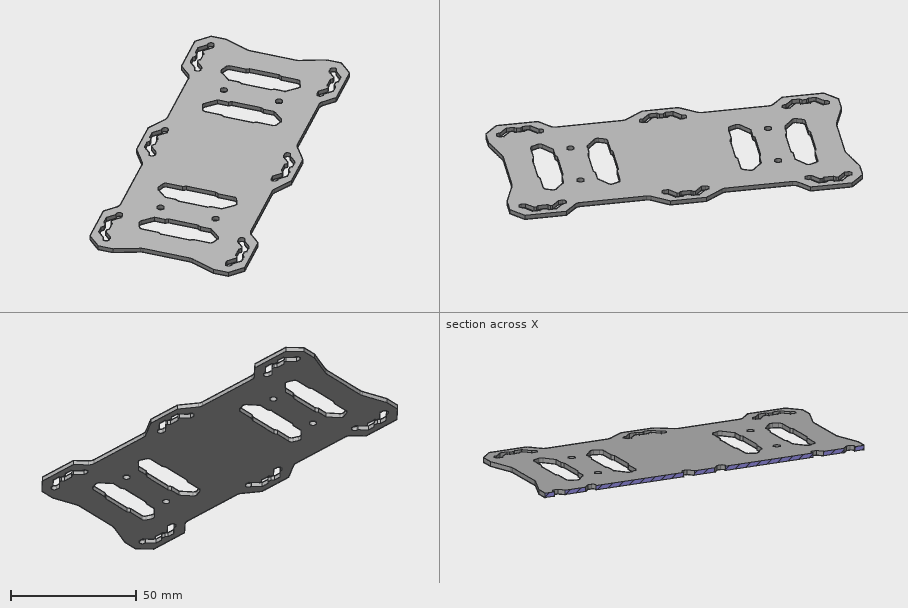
import cadquery as cq
import math

length = 143.0
width = 65.0
thickness = 2.0

pad_chamfer = 5.1
pad_side_half_length = 8.5
end_notch_depth = 4.0
end_notch_floor_half = 10.3
end_notch_mouth_half = 21.2

mid_pad_tip_half = 7.3
mid_pad_root_half = 15.2

blend_radius = 3.0

slot_width = 2.6
slot_end_x = 25.7
slot_end_half = 8.3
slot_end_bend = 7.3
slot_sway = 3.0
slot_jog = 0.9
slot_jog_start = 2.3
bend_angle = 45.0

group_y = 40.0
hole_diameter = 2.9
hole_x = 11.6
window_near_edge = 6.9
window_far_edge = 15.6
window_near_half = 11.9
window_far_half = 15.2
window_tip_half = 16.9
window_tip = 11.3
window_bulge = 0.7
window_bulge_half = 6.1
window_bulge_ramp = 1.3
window_corner_radius = 1.6

half_length = length / 2
half_width = width / 2
half_waist = half_width - pad_chamfer
pad_y = half_length - pad_chamfer - pad_side_half_length


def round_corners(body, corners, radius):
    """Fillet the upright edges of body that stand at the given (x, y) corners."""
    for x, y in corners:
        nearest = cq.selectors.NearestToPointSelector((x, y, thickness / 2))
        body = body.edges("|Z").edges(nearest).fillet(radius)
    return body


def make_plate():
    """Plate with four corner pads and two middle pads, waisted between them."""
    pad_inner_y = pad_y - pad_side_half_length
    pad_root_y = pad_inner_y - pad_chamfer
    quarter = [
        (end_notch_floor_half, half_length - end_notch_depth),
        (end_notch_mouth_half, half_length),
        (half_width - pad_chamfer, half_length),
        (half_width, half_length - pad_chamfer),
        (half_width, pad_inner_y),
        (half_waist, pad_root_y),
        (half_waist, mid_pad_root_half),
        (half_width, mid_pad_tip_half),
    ]
    right_side = quarter + [(x, -y) for x, y in reversed(quarter)]
    left_side = [(-x, y) for x, y in reversed(right_side)]
    plate = cq.Workplane("XY").polyline(right_side + left_side).close().extrude(thickness)

    inward_corners = [
        (end_notch_floor_half, half_length - end_notch_depth),
        (half_waist, pad_root_y),
        (half_waist, mid_pad_root_half),
    ]
    for x, y in inward_corners:
        mirrored_points = [(x, y), (-x, y), (x, -y), (-x, -y)]
        plate = round_corners(plate, mirrored_points, blend_radius)
    return plate


def make_slot():
    """Constant-width zigzag slot for a right-hand pad, centred on Y = 0."""
    radius = slot_width / 2
    outer_x = slot_end_x + slot_sway
    middle_x = outer_x - slot_jog
    miter = radius * math.tan(math.radians(bend_angle / 2))
    bends = [
        (slot_end_x, slot_end_bend, 1),
        (outer_x, slot_end_bend - slot_sway, 1),
        (outer_x, slot_jog_start, -1),
        (middle_x, slot_jog_start - slot_jog, -1),
    ]
    bends += [(x, -y, -shift) for x, y, shift in reversed(bends)]
    outer_wall = [(x + radius, y + shift * miter) for x, y, shift in bends]
    inner_wall = [(x - radius, y - shift * miter) for x, y, shift in reversed(bends)]
    end_outer_x = slot_end_x + radius
    end_inner_x = slot_end_x - radius
    end_tip = slot_end_half + radius
    return (
        cq.Workplane("XY")
        .moveTo(end_outer_x, slot_end_half)
        .polyline(outer_wall + [(end_outer_x, -slot_end_half)], includeCurrent=True)
        .threePointArc((slot_end_x, -end_tip), (end_inner_x, -slot_end_half))
        .polyline(inner_wall + [(end_inner_x, slot_end_half)], includeCurrent=True)
        .threePointArc((slot_end_x, end_tip), (end_outer_x, slot_end_half))
        .close()
        .extrude(thickness)
    )


def make_window():
    """Window on the +Y side of a hole pair, with a slight bulge along both long edges."""
    bulge_root = window_bulge_half + window_bulge_ramp
    right_half = [
        (window_bulge_half, window_near_edge - window_bulge),
        (bulge_root, window_near_edge),
        (window_near_half, window_near_edge),
        (window_tip_half, window_tip),
        (window_far_half, window_far_edge),
        (bulge_root, window_far_edge),
        (window_bulge_half, window_far_edge + window_bulge),
    ]
    left_half = [(-x, y) for x, y in reversed(right_half)]
    window = cq.Workplane("XY").polyline(right_half + left_half).close().extrude(thickness)
    for x, y in [(window_tip_half, window_tip), (window_far_half, window_far_edge)]:
        window = round_corners(window, [(-x, y), (x, y)], window_corner_radius)
    return window


result = make_plate()

slot = make_slot()
for y in (-pad_y, 0, pad_y):
    placed_slot = slot.translate((0, y, 0))
    result = result.cut(placed_slot).cut(placed_slot.mirror("YZ"))

window = make_window()
for y in (-group_y, group_y):
    result = result.cut(window.translate((0, y, 0)))
    result = result.cut(window.mirror("XZ").translate((0, y, 0)))
    holes = cq.Workplane("XY").pushPoints([(-hole_x, y), (hole_x, y)]).circle(hole_diameter / 2)
    result = result.cut(holes.extrude(thickness))